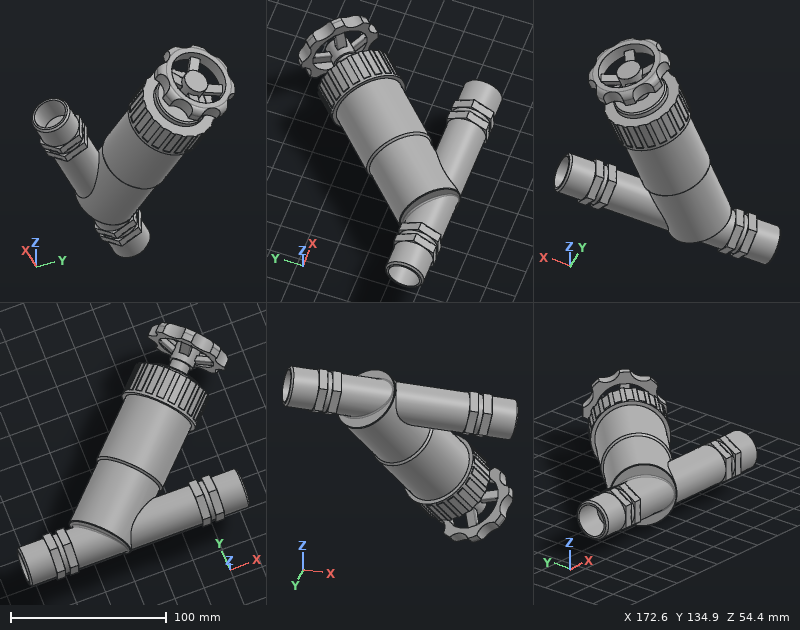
import cadquery as cq
import math


PIPE_D = 26.44
BORE_D = 21.15
BORE_DEPTH = 18.1
INLET_LENGTH = 51.66
OUTLET_LENGTH = 99.14
PIPE_CHAMFER = 1.3

HEX_ACROSS_FLATS = 27.0
HEX_START = BORE_DEPTH
HEX_WIDTH = 5.75
HEX_GAP = 3.3
HEX_PAIR_SPACING = 100.0

BODY_D = 43.56
SLEEVE_D = 46.28
CAP_D = 51.73
NECK_D = 35.94
STEM_D = 13.07
HUB_D = 16.34
BODY_BASE = 1.56
SLEEVE_BASE = 47.0
CAP_BASE = 94.0
CAP_TOP = 116.0
NECK_TOP = 120.2
HUB_BASE = 129.2
BASE_CHAMFER = 0.5
NECK_CHAMFER = 1.0
PIPE_BASE_FILLET = 0.9

GROOVE_COUNT = 20
GROOVE_WIDTH = 4.9
GROOVE_DEPTH = 0.7
GROOVE_BASE = CAP_BASE + 2.2

WHEEL_D = 54.41
WHEEL_INNER_D = 38.1
WHEEL_BASE = 137.53
WHEEL_THICKNESS = 8.85
WHEEL_ROUND = 4.3
LOBE_COUNT = 8
LOBE_WIDTH = 6.9
SCALLOP_FLOOR_RADIUS = 22.9
HUB_TOP = WHEEL_BASE + 4.9

SPOKE_COUNT = 4
SPOKE_WIDTH = 6.8
SPOKE_RISE = 4.3
SPOKE_EDGE_ROUND = 0.5
SPOKE_THICKNESS = 3.9
SPOKE_INNER_RADIUS = 6.0
SPOKE_OUTER_RADIUS = WHEEL_INNER_D / 2
SPOKE_RIM_OVERLAP = 1.0
SPOKE_BASE = WHEEL_BASE - SPOKE_RISE

BONNET_PLANE = cq.Plane(origin=(0, 0, 0), xDir=(0, 0, 1), normal=(1, 1, 0))


def cylinder(diameter, bottom, top):
    return cq.Workplane("XY").workplane(offset=bottom).circle(diameter / 2).extrude(top - bottom)


def on_bonnet(shape):
    return cq.Workplane(shape.val().moved(cq.Location(BONNET_PLANE)))


def make_pipe():
    length = INLET_LENGTH + OUTLET_LENGTH
    pipe = cq.Workplane("YZ").workplane(offset=-INLET_LENGTH).circle(PIPE_D / 2).extrude(length)
    return pipe.faces("<X or >X").chamfer(PIPE_CHAMFER)


def make_hex_nuts():
    corner_diameter = HEX_ACROSS_FLATS / math.cos(math.pi / 6)
    first_start = HEX_START - INLET_LENGTH
    second_start = first_start + HEX_WIDTH + HEX_GAP
    nuts = cq.Workplane("YZ")
    for shift in (0, HEX_PAIR_SPACING):
        for start in (first_start, second_start):
            hexagon = cq.Workplane("YZ").workplane(offset=start + shift).polygon(6, corner_diameter)
            nuts = nuts.add(hexagon.extrude(HEX_WIDTH).rotate((0, 0, 0), (1, 0, 0), 90))
    return nuts.combine()


def make_bores():
    inlet = cq.Workplane("YZ").workplane(offset=-INLET_LENGTH).circle(BORE_D / 2).extrude(BORE_DEPTH)
    outlet = cq.Workplane("YZ").workplane(offset=OUTLET_LENGTH).circle(BORE_D / 2).extrude(-BORE_DEPTH)
    return inlet.union(outlet)


def make_body():
    body = cylinder(BODY_D, BODY_BASE, SLEEVE_BASE)
    return body.faces("<Z").chamfer(BASE_CHAMFER)


def make_cap():
    cap = cylinder(CAP_D, CAP_BASE, CAP_TOP)
    groove = (
        cq.Workplane("XY")
        .workplane(offset=GROOVE_BASE)
        .center(CAP_D / 2, 0)
        .rect(2 * GROOVE_DEPTH, GROOVE_WIDTH)
        .extrude(CAP_TOP - GROOVE_BASE)
    )
    for index in range(GROOVE_COUNT):
        cap = cap.cut(groove.rotate((0, 0, 0), (0, 0, 1), index * 360 / GROOVE_COUNT))
    return cap


def make_rim():
    top = WHEEL_BASE + WHEEL_THICKNESS
    rim = cylinder(WHEEL_D, WHEEL_BASE, top).faces(">Z").edges().fillet(WHEEL_ROUND)
    rim = rim.cut(cylinder(WHEEL_INNER_D, WHEEL_BASE, top))

    lobe_pitch = 2 * math.pi / LOBE_COUNT
    half_span = lobe_pitch / 2 - math.asin(LOBE_WIDTH / WHEEL_D)
    half_chord = WHEEL_D / 2 * math.sin(half_span)
    depth = WHEEL_D / 2 * math.cos(half_span) - SCALLOP_FLOOR_RADIUS
    scallop_radius = (half_chord**2 + depth**2) / (2 * depth)
    scallops = (
        cq.Workplane("XY")
        .workplane(offset=WHEEL_BASE)
        .polarArray(SCALLOP_FLOOR_RADIUS + scallop_radius, 180 / LOBE_COUNT, 360, LOBE_COUNT)
        .circle(scallop_radius)
        .extrude(WHEEL_THICKNESS)
    )
    return rim.cut(scallops)


def make_spokes():
    spoke = (
        cq.Workplane("XZ")
        .polyline([
            (SPOKE_INNER_RADIUS, SPOKE_BASE),
            (SPOKE_OUTER_RADIUS, WHEEL_BASE),
            (SPOKE_OUTER_RADIUS + SPOKE_RIM_OVERLAP, WHEEL_BASE),
            (SPOKE_OUTER_RADIUS + SPOKE_RIM_OVERLAP, WHEEL_BASE + SPOKE_THICKNESS),
            (SPOKE_OUTER_RADIUS, WHEEL_BASE + SPOKE_THICKNESS),
            (SPOKE_INNER_RADIUS, SPOKE_BASE + SPOKE_THICKNESS),
        ])
        .close()
        .extrude(SPOKE_WIDTH / 2, both=True)
    )
    sloped_underside = cq.selectors.NearestToPointSelector((
        (SPOKE_INNER_RADIUS + SPOKE_OUTER_RADIUS) / 2, 0, SPOKE_BASE + SPOKE_RISE / 2
    ))
    spoke = spoke.faces(sloped_underside).edges("not |Y").fillet(SPOKE_EDGE_ROUND)
    spokes = spoke
    for index in range(1, SPOKE_COUNT):
        spokes = spokes.union(spoke.rotate((0, 0, 0), (0, 0, 1), index * 360 / SPOKE_COUNT))
    return spokes


def make_upper_bonnet():
    sleeve_taper = (SLEEVE_D - BODY_D) / 2
    sleeve = cylinder(SLEEVE_D, SLEEVE_BASE, CAP_BASE).faces("<Z").chamfer(sleeve_taper)
    neck = cylinder(NECK_D, CAP_TOP, NECK_TOP).faces(">Z").chamfer(NECK_CHAMFER)
    stem = cylinder(STEM_D, NECK_TOP, HUB_BASE)
    hub = cylinder(HUB_D, HUB_BASE, HUB_TOP)
    bonnet = sleeve.union(make_cap()).union(neck).union(stem).union(hub)
    return bonnet.union(make_spokes()).union(make_rim())


lower = make_pipe().union(on_bonnet(make_body()))
lower = lower.edges("%ELLIPSE").fillet(PIPE_BASE_FILLET)
valve = lower.union(make_hex_nuts()).union(on_bonnet(make_upper_bonnet()))
result = valve.cut(make_bores())